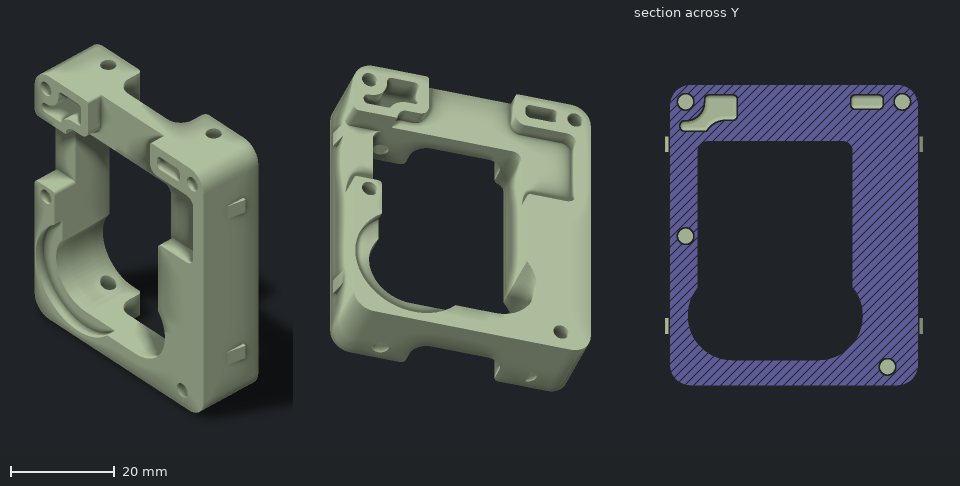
import cadquery as cq
import math

width = 48.1
height = 58.2
depth = 14.3
corner_radius = 4.1
half_width = width / 2
half_height = height / 2
wall = 2.0

window_left = -18.35
window_right = 11.1
window_top = 17.9
window_radius = 1.8
chamber_left = -20.25
chamber_right = 13.05
chamber_radius = 8.4
chamber_bottom = -23.9
chamber_center_z = chamber_bottom + chamber_radius

step_radius = 11.9
step_depth = 2.1

recess_depth = 3.4
block_inner_x = 8.8
recess_radius = 2.0
right_block_bottom = 22.1
left_block_bottom = 20.0
left_block_foot_x = -15.2
recess_right = 21.1
recess_bottom = 6.0
lead_in_radius = 0.5
recess_exit_radius = 0.8

notch_depth = 5.4
notch_bottom = 2.2
notch_top_radius = 1.1
notch_bottom_radius = 0.8

hole_diameter = 3.1
hole_depth = 10.0
hole_x = 20.85
upper_hole_z = 25.65
middle_hole_z = -0.2
lower_hole = (18.0, -25.35)

pocket_depth = 6.0
pocket_radius = 1.0
pocket_floor_radius = 0.95
pocket_tip_radius = 0.5
pocket_inner_x = block_inner_x + wall
pocket_top = half_height - wall
hole_wall_radius = hole_diameter / 2 + wall
pocket_outer_x = hole_x - hole_wall_radius

screw_diameter = 3.2
screw_x = 15.0
screw_from_back = 3.35
screw_y = depth - screw_from_back
ledge_radius = 1.7
ledge_top = chamber_center_z

channel_half_width = 9.05
channel_depth = 6.8
channel_floor_radius = 3.4
channel_lip_radius = 1.0

tab_height = 3.0
tab_z = 17.5
tab_reach = 0.75
tab_back = 10.3
tab_crest = 9.8
tab_front = 6.1


def extrude_into_front(sketch, reach):
    """Extrude an XZ sketch from the front face (y = 0) toward the back."""
    return sketch.extrude(-reach)


def front_outline(points, reach):
    """Closed straight-sided XZ outline cut from the front face."""
    return extrude_into_front(cq.Workplane("XZ").polyline(points).close(), reach)


def box(x_range, y_range, z_range):
    """Axis-aligned box between pairs of limits."""
    ranges = (x_range, y_range, z_range)
    size = [high - low for low, high in ranges]
    corner = tuple(low for low, high in ranges)
    return cq.Workplane("XY").box(*size, centered=False).translate(corner)


def round_corners(body, corners, radius):
    """Fillet the edges along Y that stand on the given XZ corners."""
    for x, z in corners:
        edge = body.edges("|Y").edges(cq.selectors.NearestToPointSelector((x, 0, z)))
        body = edge.fillet(radius)
    return body


def corner_sliver(plane, corner, into_x, into_v, radius):
    """Sketch of the waste between a square outer corner and its rounding.

    into_x and into_v are the signs that point from the corner into the material.
    """
    x, v = corner
    center_x = x + into_x * radius
    center_v = v + into_v * radius
    diagonal = radius * math.sqrt(0.5)
    middle = (center_x - into_x * diagonal, center_v - into_v * diagonal)
    sketch = cq.Workplane(plane).moveTo(x, v).lineTo(center_x, v)
    return sketch.threePointArc(middle, (x, center_v)).close()


def front_sliver(corner, into_x, into_z, radius, reach):
    return extrude_into_front(corner_sliver("XZ", corner, into_x, into_z, radius), reach)


def make_frame():
    frame = box((-half_width, half_width), (0, depth), (-half_height, half_height))
    return frame.edges("|Y").fillet(corner_radius)


def make_opening():
    """Window with rounded upper corners, running into a stadium-shaped chamber."""
    window = box((window_left, window_right), (0, depth), (chamber_center_z, window_top))
    window = window.edges("|Y and >Z").fillet(window_radius)
    chamber = cq.Workplane("XZ").center((chamber_left + chamber_right) / 2, chamber_center_z)
    chamber = chamber.slot2D(chamber_right - chamber_left, 2 * chamber_radius)
    return window.union(extrude_into_front(chamber, depth))


def make_step():
    """Round step in the front face, concentric with the left chamber end."""
    step = cq.Workplane("XZ").center(chamber_left + chamber_radius, chamber_center_z)
    return extrude_into_front(step.circle(step_radius), step_depth)


def make_recess():
    """Front recess between the corner blocks and down the right wall."""
    rounded = [
        (block_inner_x, right_block_bottom),
        (recess_right, right_block_bottom),
        (recess_right, recess_bottom),
        (left_block_foot_x, left_block_bottom),
        (-block_inner_x, left_block_bottom),
    ]
    points = [
        (-block_inner_x, half_height),
        (block_inner_x, half_height),
        *rounded[:3],
        (window_right, recess_bottom),
        (window_right, window_top - window_radius),
        (window_right - window_radius, window_top),
        (left_block_foot_x, window_top),
        *rounded[3:],
    ]
    recess = round_corners(front_outline(points, recess_depth), rounded, recess_radius)
    for side in (-1, 1):
        lip = (side * block_inner_x, half_height)
        recess = recess.union(front_sliver(lip, side, -1, lead_in_radius, recess_depth))
    exit_corner = (window_right, recess_bottom)
    return recess.union(front_sliver(exit_corner, 1, -1, recess_exit_radius, recess_depth))


def make_notch():
    """Notch through the left wall with rounded edges where it leaves the wall."""
    notch = box((-half_width, window_left), (0, notch_depth), (notch_bottom, window_top))
    roundings = [
        (-half_width, window_top, 1, 1, notch_top_radius),
        (-half_width, notch_bottom, 1, -1, notch_bottom_radius),
        (window_left, notch_bottom, -1, -1, notch_bottom_radius),
    ]
    for x, z, into_x, into_z, radius in roundings:
        notch = notch.union(front_sliver((x, z), into_x, into_z, radius, notch_depth))
    corner = box(
        (window_left, window_left + window_radius),
        (0, notch_depth),
        (window_top - window_radius, window_top),
    )
    return notch.union(corner)


def make_front_holes():
    centers = [(-hole_x, upper_hole_z), (hole_x, upper_hole_z), (-hole_x, middle_hole_z), lower_hole]
    holes = cq.Workplane("XZ").pushPoints(centers).circle(hole_diameter / 2)
    return extrude_into_front(holes, hole_depth)


def make_left_pocket():
    """Curved pocket that keeps one wall thickness around the corner hole."""
    arm_left = wall - half_width
    arm_top = upper_hole_z - hole_wall_radius
    arm_bottom = window_top + wall
    body_bottom = left_block_bottom + wall
    body_left = -pocket_outer_x
    body_right = -pocket_inner_x

    curve_radius = recess_radius + wall
    curve_x = left_block_foot_x + recess_radius
    curve_z = body_bottom - curve_radius
    curve_end_angle = math.asin((arm_bottom - curve_z) / curve_radius)
    curve_mid_angle = (math.pi / 2 + curve_end_angle) / 2
    curve_end = (curve_x - curve_radius * math.cos(curve_end_angle), arm_bottom)
    curve_mid = (
        curve_x - curve_radius * math.cos(curve_mid_angle),
        curve_z + curve_radius * math.sin(curve_mid_angle),
    )
    hole_diagonal = hole_wall_radius * math.sqrt(0.5)
    hole_curve_mid = (hole_diagonal - hole_x, upper_hole_z - hole_diagonal)

    outline = (
        cq.Workplane("XZ")
        .moveTo(body_right, pocket_top)
        .lineTo(body_left, pocket_top)
        .lineTo(body_left, upper_hole_z)
        .threePointArc(hole_curve_mid, (-hole_x, arm_top))
        .lineTo(arm_left, arm_top)
        .lineTo(arm_left, arm_bottom)
        .lineTo(*curve_end)
        .threePointArc(curve_mid, (curve_x, body_bottom))
        .lineTo(body_right, body_bottom)
        .close()
    )
    corners = [
        (body_right, pocket_top),
        (body_left, pocket_top),
        (arm_left, arm_top),
        (arm_left, arm_bottom),
        (body_right, body_bottom),
    ]
    pocket = round_corners(extrude_into_front(outline, pocket_depth), corners, pocket_radius)
    pocket = round_corners(pocket, [curve_end], pocket_tip_radius)
    return pocket.faces(">Y").edges().fillet(pocket_floor_radius)


def make_right_pocket():
    pocket = box(
        (pocket_inner_x, pocket_outer_x),
        (0, pocket_depth),
        (right_block_bottom + wall, pocket_top),
    )
    pocket = pocket.edges("|Y").fillet(pocket_radius)
    return pocket.faces(">Y").edges().fillet(pocket_floor_radius)


def make_screw_holes():
    """Two vertical holes; a rounded ledge half closes the right one low down."""
    holes = (
        cq.Workplane("XY", origin=(0, 0, -half_height))
        .pushPoints([(-screw_x, screw_y), (screw_x, screw_y)])
        .circle(screw_diameter / 2)
        .extrude(height)
    )
    ledge = box(
        (screw_x - screw_diameter, screw_x),
        (screw_y - screw_diameter, screw_y + screw_diameter),
        (-half_height, ledge_top),
    )
    return holes.cut(ledge.edges("|Y and >X and >Z").fillet(ledge_radius))


def make_channel():
    """Channel in the back face, rounded at its floor and at its lips."""
    channel = box(
        (-channel_half_width, channel_half_width),
        (depth - channel_depth, depth),
        (-half_height, half_height),
    )
    channel = channel.edges("|Z and <Y").fillet(channel_floor_radius)
    for side in (-1, 1):
        lip = corner_sliver("XY", (side * channel_half_width, depth), side, -1, channel_lip_radius)
        channel = channel.union(lip.extrude(height / 2, both=True))
    return channel


def make_tab(side, z):
    """Snap tab with a ramp that rises toward the back."""
    wall_x = side * half_width
    crest_x = side * (half_width + tab_reach)
    profile = [(wall_x, tab_front), (crest_x, tab_crest), (crest_x, tab_back), (wall_x, tab_back)]
    tab = cq.Workplane("XY", origin=(0, 0, z - tab_height / 2)).polyline(profile).close()
    return tab.extrude(tab_height)


result = make_frame()
cutters = [
    make_opening(),
    make_step(),
    make_recess(),
    make_notch(),
    make_front_holes(),
    make_left_pocket(),
    make_right_pocket(),
    make_screw_holes(),
    make_channel(),
]
for cutter in cutters:
    result = result.cut(cutter)
for side in (-1, 1):
    for z in (-tab_z, tab_z):
        result = result.union(make_tab(side, z))